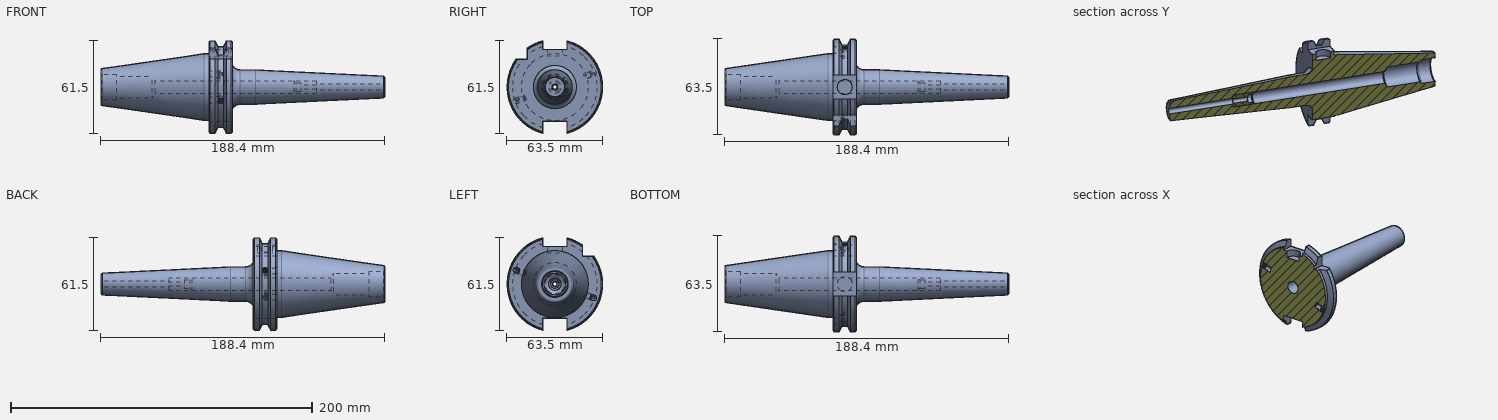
import cadquery as cq
import math


TOTAL_LENGTH = 188.4
TAPER_LENGTH = 68.4
GAUGE_RADIUS = 22.2
TAPER_RATIO = 7 / 24
SMALL_END_ROUNDING = 1.0
SMALL_END_RADIUS = GAUGE_RADIUS - (TAPER_LENGTH - SMALL_END_ROUNDING) * TAPER_RATIO / 2
GAUGE_LAND = 3.2
FLANGE_FRONT_X = TAPER_LENGTH + GAUGE_LAND
FLANGE_WIDTH = 15.8
FLANGE_BACK_X = FLANGE_FRONT_X + FLANGE_WIDTH
FLANGE_DIAMETER = 63.5
FLANGE_RADIUS = FLANGE_DIAMETER / 2
FLANGE_CHAMFER = 1.0
NECK_RADIUS = 11.5
NECK_FILLET_LENGTH = 4.9
NECK_FILLET_HEIGHT = 2.8
NECK_END_X = 102.5
NOSE_RADIUS = 7.3
NOSE_CHAMFER = 1.0

GROOVE_X = 79.5
GROOVE_FLOOR_RADIUS = 28.0
GROOVE_FLOOR_WIDTH = 3.8
GROOVE_MOUTH_WIDTH = 7.5

KEYWAY_WIDTH = 16.0
TOP_KEYWAY_FLOOR = 25.0
BOTTOM_KEYWAY_FLOOR = 22.8
NOTCH_OFFSET = 18.5
CHIP_POCKET_DIAMETER = 10.0
CHIP_POCKET_DEPTH = 4.5

MOUTH_RADIUS = 8.9
MOUTH_CHAMFER_LENGTH = 0.8
COUNTERBORE_RADIUS = 8.5
COUNTERBORE_WALL_END_X = 8.9
COUNTERBORE_FLOOR_RADIUS = 8.3
COUNTERBORE_DEPTH = 10.4
PULL_BORE_RADIUS = 7.2
PULL_BORE_DEPTH = 34.0
DRILL_TIP_HALF_ANGLE = 59.0
SCREW_BORE_RADIUS = 4.1
SCREW_BORE_END_X = 143.2
TOOL_BORE_RADIUS = 1.9

LENGTH_SCREW_LENGTH = 15.0
LENGTH_SCREW_SOCKET_RADIUS = 2.8
LENGTH_SCREW_SOCKET_DEPTH = 4.7
LENGTH_SCREW_HOLE_RADIUS = 1.41

COOLANT_ANGLES = (19.6, 199.6)
FACE_HOLE_RADIUS = 1.9
FACE_HOLE_START_RADIUS = 27.1
FACE_HOLE_SLOPE = 30.0
RADIAL_HOLE_RADIUS = 1.7
FACE_HOLE_LENGTH = (GROOVE_X - FLANGE_FRONT_X) / math.cos(math.radians(FACE_HOLE_SLOPE))
FACE_HOLE_END_RADIUS = FACE_HOLE_START_RADIUS - FACE_HOLE_LENGTH * math.sin(math.radians(FACE_HOLE_SLOPE))
RADIAL_HOLE_END_RADIUS = FACE_HOLE_END_RADIUS - FACE_HOLE_RADIUS

PLUG_RECESS = 0.5
PLUG_LENGTH = 2.3
PLUG_SOCKET_WIDTH = 1.7
PLUG_SOCKET_DEPTH = 1.1
PLUG_OUTER_RADIUS = GROOVE_FLOOR_RADIUS - PLUG_RECESS


def holder_blank():
    fillet_radius = (NECK_FILLET_LENGTH**2 + NECK_FILLET_HEIGHT**2) / (2 * NECK_FILLET_HEIGHT)
    neck_start_x = FLANGE_BACK_X + NECK_FILLET_LENGTH
    half_angle = math.asin(NECK_FILLET_LENGTH / fillet_radius) / 2
    fillet_middle = (
        neck_start_x - fillet_radius * math.sin(half_angle),
        NECK_RADIUS + fillet_radius * (1 - math.cos(half_angle)),
    )
    return (
        cq.Workplane("XY")
        .lineTo(0, SMALL_END_RADIUS - SMALL_END_ROUNDING)
        .radiusArc((SMALL_END_ROUNDING, SMALL_END_RADIUS), SMALL_END_ROUNDING)
        .lineTo(TAPER_LENGTH, GAUGE_RADIUS)
        .lineTo(FLANGE_FRONT_X, GAUGE_RADIUS)
        .lineTo(FLANGE_FRONT_X, FLANGE_RADIUS - FLANGE_CHAMFER)
        .lineTo(FLANGE_FRONT_X + FLANGE_CHAMFER, FLANGE_RADIUS)
        .lineTo(GROOVE_X - GROOVE_MOUTH_WIDTH / 2, FLANGE_RADIUS)
        .lineTo(GROOVE_X - GROOVE_FLOOR_WIDTH / 2, GROOVE_FLOOR_RADIUS)
        .lineTo(GROOVE_X + GROOVE_FLOOR_WIDTH / 2, GROOVE_FLOOR_RADIUS)
        .lineTo(GROOVE_X + GROOVE_MOUTH_WIDTH / 2, FLANGE_RADIUS)
        .lineTo(FLANGE_BACK_X - FLANGE_CHAMFER, FLANGE_RADIUS)
        .lineTo(FLANGE_BACK_X, FLANGE_RADIUS - FLANGE_CHAMFER)
        .lineTo(FLANGE_BACK_X, NECK_RADIUS + NECK_FILLET_HEIGHT)
        .threePointArc(fillet_middle, (neck_start_x, NECK_RADIUS))
        .lineTo(NECK_END_X, NECK_RADIUS)
        .lineTo(TOTAL_LENGTH - NOSE_CHAMFER, NOSE_RADIUS)
        .lineTo(TOTAL_LENGTH, NOSE_RADIUS - NOSE_CHAMFER)
        .lineTo(TOTAL_LENGTH, 0)
        .close()
        .revolve(360, (0, 0, 0), (1, 0, 0))
    )


def axial_bore():
    drill_tip_step = PULL_BORE_RADIUS - SCREW_BORE_RADIUS
    drill_tip_length = drill_tip_step / math.tan(math.radians(DRILL_TIP_HALF_ANGLE))
    return (
        cq.Workplane("XY")
        .lineTo(0, MOUTH_RADIUS)
        .lineTo(MOUTH_CHAMFER_LENGTH, COUNTERBORE_RADIUS)
        .lineTo(COUNTERBORE_WALL_END_X, COUNTERBORE_RADIUS)
        .lineTo(COUNTERBORE_DEPTH, COUNTERBORE_FLOOR_RADIUS)
        .lineTo(COUNTERBORE_DEPTH, PULL_BORE_RADIUS)
        .lineTo(PULL_BORE_DEPTH, PULL_BORE_RADIUS)
        .lineTo(PULL_BORE_DEPTH + drill_tip_length, SCREW_BORE_RADIUS)
        .lineTo(SCREW_BORE_END_X, SCREW_BORE_RADIUS)
        .lineTo(SCREW_BORE_END_X, TOOL_BORE_RADIUS)
        .lineTo(TOTAL_LENGTH, TOOL_BORE_RADIUS)
        .lineTo(TOTAL_LENGTH, 0)
        .close()
        .revolve(360, (0, 0, 0), (1, 0, 0))
    )


def rim_cutout(y_min, y_max, z_min, z_max):
    """A block as wide as the flange, which cuts its rim."""
    block = cq.Workplane("XY").box(FLANGE_WIDTH, y_max - y_min, z_max - z_min, centered=False)
    return block.translate((FLANGE_FRONT_X, y_min, z_min))


def chip_pocket():
    return (
        cq.Workplane("XY", origin=(GROOVE_X, 0, TOP_KEYWAY_FLOOR))
        .circle(CHIP_POCKET_DIAMETER / 2)
        .extrude(-CHIP_POCKET_DEPTH)
    )


def radial_cylinder(radius, inner, outer, angle):
    """A cylinder across the axis at the groove, between two distances from the axis."""
    cylinder = cq.Workplane("XZ", origin=(GROOVE_X, inner, 0)).circle(radius).extrude(inner - outer)
    return cylinder.rotate((0, 0, 0), (1, 0, 0), angle)


def sloping_face_hole(angle):
    """A hole that starts outside the flange face and ends on the axis of the radial hole."""
    mouth = cq.Vector(FLANGE_FRONT_X, FACE_HOLE_START_RADIUS, 0)
    slope = math.radians(FACE_HOLE_SLOPE)
    direction = cq.Vector(math.cos(slope), -math.sin(slope), 0)
    lead = 2 * FACE_HOLE_RADIUS
    hole = cq.Solid.makeCylinder(
        FACE_HOLE_RADIUS, FACE_HOLE_LENGTH + lead, mouth - direction * lead, direction
    )
    return cq.Workplane(hole).rotate((0, 0, 0), (1, 0, 0), angle)


def make_holder():
    half_keyway = KEYWAY_WIDTH / 2
    holder = (
        holder_blank()
        .cut(axial_bore())
        .cut(rim_cutout(-half_keyway, half_keyway, TOP_KEYWAY_FLOOR, FLANGE_RADIUS))
        .cut(rim_cutout(-half_keyway, half_keyway, -FLANGE_RADIUS, -BOTTOM_KEYWAY_FLOOR))
        .cut(rim_cutout(-FLANGE_RADIUS, -NOTCH_OFFSET, NOTCH_OFFSET, FLANGE_RADIUS))
        .cut(chip_pocket())
    )
    for angle in COOLANT_ANGLES:
        holder = holder.cut(sloping_face_hole(angle))
        holder = holder.cut(
            radial_cylinder(RADIAL_HOLE_RADIUS, RADIAL_HOLE_END_RADIUS, FLANGE_RADIUS, angle)
        )
    return holder


def make_length_screw():
    socket_chamfer = SCREW_BORE_RADIUS - LENGTH_SCREW_SOCKET_RADIUS
    return (
        cq.Workplane("XY")
        .moveTo(0, SCREW_BORE_RADIUS)
        .lineTo(LENGTH_SCREW_LENGTH, SCREW_BORE_RADIUS)
        .lineTo(LENGTH_SCREW_LENGTH, LENGTH_SCREW_HOLE_RADIUS)
        .lineTo(LENGTH_SCREW_SOCKET_DEPTH, LENGTH_SCREW_HOLE_RADIUS)
        .lineTo(LENGTH_SCREW_SOCKET_DEPTH, LENGTH_SCREW_SOCKET_RADIUS)
        .lineTo(socket_chamfer, LENGTH_SCREW_SOCKET_RADIUS)
        .close()
        .revolve(360, (0, 0, 0), (1, 0, 0))
        .translate((SCREW_BORE_END_X - LENGTH_SCREW_LENGTH, 0, 0))
    )


def make_plug(angle):
    socket = (
        cq.Workplane("XZ", origin=(GROOVE_X, PLUG_OUTER_RADIUS, 0))
        .polygon(6, PLUG_SOCKET_WIDTH)
        .extrude(PLUG_SOCKET_DEPTH)
        .rotate((0, 0, 0), (1, 0, 0), angle)
    )
    inner_radius = PLUG_OUTER_RADIUS - PLUG_LENGTH
    return radial_cylinder(RADIAL_HOLE_RADIUS, inner_radius, PLUG_OUTER_RADIUS, angle).cut(socket)


holder = make_holder()
length_screw = make_length_screw()
plugs = [make_plug(angle).val() for angle in COOLANT_ANGLES]

result = cq.Compound.makeCompound([holder.val(), length_screw.val(), *plugs])